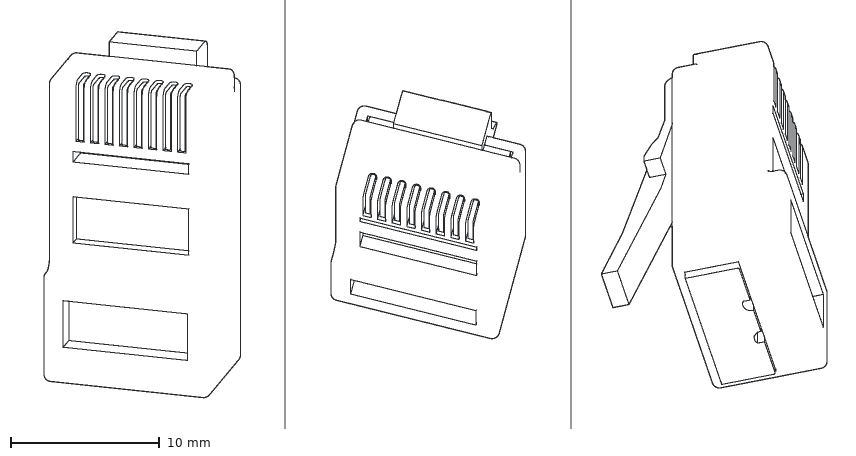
import cadquery as cq
import math


housing_width = 11.67
housing_back = 7.97
housing_bottom = 0.45
housing_top = 21.85
step_wall_y = 6.5
shoulder_z = 20.85
nose_front = 1.3
boot_top = 8.38
edge_radius = 0.5
boot_corner_radius = 0.45

latch_width = 6.13
lever_width = 3.11
latch_back = 9.09
latch_top = 22.9
latch_root_z = 18.98
latch_root_y = 8.33
latch_corner_radius = 0.73
lever_start_z = 18.65
ramp_foot = (9.55, 17.05)
wing_kink = (10.0, 16.45)
barb_y = 10.53
barb_peak_z = 16.4
wing_back_z = 15.4
wing_bottom_z = 14.92
lever_outer_kink = (12.4, 9.8)
lever_inner_kink = (9.73, 13.62)
lever_tip_back = 13.87
lever_tip_front = 12.75
lever_tip_z = 6.05

contact_count = 8
contact_row_length = 7.12
contact_pitch = contact_row_length / (contact_count - 1)
slot_width = 0.57
slot_depth = 1.79
slot_bottom = 17.55
blade_width = 0.35
blade_recess = 0.23
blade_edge_radius = 0.15

window_width = 8.1
bar_window_bottom = 16.05
bar_window_top = 16.8
clamp_pocket_bottom = 10.23
clamp_pocket_top = 13.55
clamp_pocket_depth = 0.8
boot_pocket_width = 8.7
boot_pocket_bottom = 3.18
boot_pocket_top = 6.52
boot_pocket_depth = 1.33

insert_width = 9.77
insert_front = 3.45
insert_back = 7.19
cavity_width = 10.07
insert_edge_radius = 0.14
groove_x = 1.55
groove_radius = 0.6
groove_outer_wall_x = 1.92


def box(width, y_min, y_max, z_min, z_max):
    """Box centred on X = 0."""
    size_y = y_max - y_min
    size_z = z_max - z_min
    corner = (-width / 2, y_min, z_min)
    return cq.Workplane("XY").box(width, size_y, size_z, centered=False).translate(corner)


def side_extrusion(points, width):
    """Extrude a (Y, Z) outline along X, centred on X = 0."""
    return cq.Workplane("YZ").polyline(points).close().extrude(width / 2, both=True)


def edge_along_x(y, z):
    """Selector for the edge along X that passes through (Y, Z)."""
    reach = 0.02
    half = housing_width
    return cq.selectors.BoxSelector((-half, y - reach, z - reach), (half, y + reach, z + reach))


def make_shell():
    shell = side_extrusion(
        [
            (0, housing_bottom),
            (housing_back, housing_bottom),
            (housing_back, shoulder_z),
            (step_wall_y, shoulder_z),
            (step_wall_y, housing_top),
            (nose_front, housing_top),
            (nose_front, boot_top),
            (0, boot_top),
        ],
        housing_width,
    )
    shell = shell.edges(edge_along_x(nose_front, boot_top)).fillet(boot_corner_radius)
    side_edges = shell.faces("<X or >X").edges()
    cross_edges = shell.edges(
        edge_along_x(0, housing_bottom)
        + edge_along_x(housing_back, housing_bottom)
        + edge_along_x(housing_back, shoulder_z)
        + edge_along_x(nose_front, housing_top)
        + edge_along_x(0, boot_top)
    )
    return side_edges.add(cross_edges).fillet(edge_radius)


def make_latch():
    block = side_extrusion(
        [
            (step_wall_y, latch_top),
            (latch_back, latch_top),
            (latch_back, lever_start_z),
            ramp_foot,
            wing_kink,
            (barb_y, wing_back_z),
            (barb_y, wing_bottom_z),
            lever_inner_kink,
            (latch_root_y, latch_root_z),
            (step_wall_y, latch_root_z),
        ],
        latch_width,
    )
    block = block.edges(edge_along_x(latch_back, latch_top)).fillet(latch_corner_radius)
    below_wings = box(latch_width, step_wall_y, lever_tip_back, lever_tip_z, wing_bottom_z)
    lever = side_extrusion(
        [
            ramp_foot,
            (barb_y, barb_peak_z),
            lever_outer_kink,
            (lever_tip_back, lever_tip_z),
            (lever_tip_front, lever_tip_z),
            lever_inner_kink,
            (latch_root_y, latch_root_z),
        ],
        lever_width,
    )
    return block.cut(below_wings).union(lever)


def make_contact_slot(x):
    """Slot open at the front and top, with a half-round back end."""
    end_y = nose_front + slot_depth
    length = 2 * slot_depth
    return (
        cq.Workplane("XY", origin=(x, end_y - length / 2, slot_bottom))
        .slot2D(length, slot_width, 90)
        .extrude(housing_top - slot_bottom)
    )


def make_blade(x):
    """Blade standing in a contact slot, rounded along its top front edge."""
    front = nose_front + blade_recess
    end_y = nose_front + slot_depth
    blade = box(blade_width, front, end_y, slot_bottom, housing_top - blade_recess)
    return blade.edges("<Y and >Z").fillet(blade_edge_radius).translate((x, 0, 0))


def cut_front_pockets(housing):
    boot_pocket = box(boot_pocket_width, 0, boot_pocket_depth, boot_pocket_bottom, boot_pocket_top)
    clamp_back = nose_front + clamp_pocket_depth
    clamp_pocket = box(window_width, nose_front, clamp_back, clamp_pocket_bottom, clamp_pocket_top)
    bar_back = nose_front + slot_depth
    bar_window = box(window_width, nose_front, bar_back, bar_window_bottom, bar_window_top)
    return housing.cut(boot_pocket).cut(clamp_pocket).cut(bar_window)


def make_housing():
    housing = cut_front_pockets(make_shell().union(make_latch()))
    for index in range(contact_count):
        x = (index - (contact_count - 1) / 2) * contact_pitch
        housing = housing.cut(make_contact_slot(x)).union(make_blade(x))
    cavity = box(cavity_width, insert_front, insert_back, housing_bottom, shoulder_z)
    return housing.cut(cavity)


def make_wire_groove():
    """Full-height groove at +X: a quarter arc inside, a straight wall outside."""
    inner_x = groove_x - groove_radius
    outer_offset = groove_outer_wall_x - groove_x
    outer_y = insert_front + math.sqrt(groove_radius**2 - outer_offset**2)
    middle_angle = (math.pi + math.acos(outer_offset / groove_radius)) / 2
    arc_middle = (
        groove_x + groove_radius * math.cos(middle_angle),
        insert_front + groove_radius * math.sin(middle_angle),
    )
    return (
        cq.Workplane("XY")
        .moveTo(inner_x, insert_front)
        .threePointArc(arc_middle, (groove_outer_wall_x, outer_y))
        .lineTo(groove_outer_wall_x, insert_front)
        .close()
        .extrude(shoulder_z)
    )


def make_insert():
    insert = box(insert_width, insert_front, insert_back, 0, shoulder_z)
    insert = insert.faces("<Y").edges("|Z").fillet(insert_edge_radius)
    groove = make_wire_groove()
    return insert.cut(groove).cut(groove.mirror("YZ"))


housing = make_housing()
insert = make_insert()
result = cq.Compound.makeCompound([housing.val(), insert.val()])